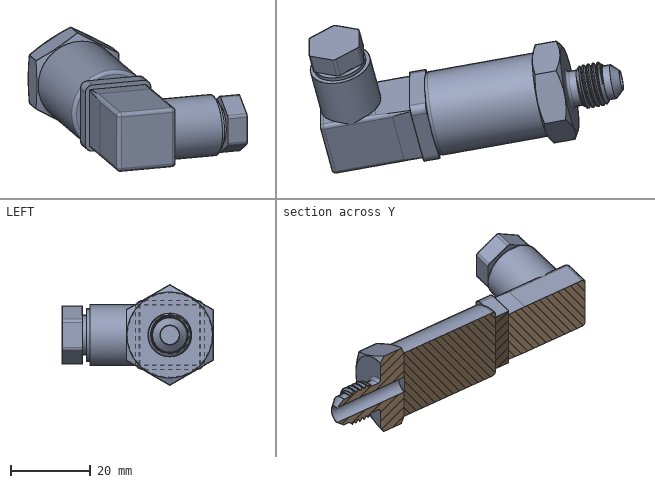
import cadquery as cq
import math


hex_half_angle = 30.0

overall_length = 76.5
tip_cone_end = 2.1
thread_start = 4.0
thread_end = 10.7
hex_start = 13.4
hex_end = 20.7
sleeve_end = 48.9
flange_end = 52.9

bore_diameter = 4.8
tip_diameter = 5.0
tip_land_diameter = 8.7
neck_diameter = 9.0
neck_fillet = 0.8
hex_across_flats = 22.0
hex_front_face_diameter = 21.7
hex_front_chamfer_angle = 30.0
hex_back_chamfer_angle = 23.0

thread_diameter = 11.0
thread_root_diameter = 9.6
thread_pitch = 1.27
thread_peak_x = 5.3
thread_end_diameter = 9.2
thread_root_flat = 0.15
thread_flank_angle = 30.0
groove_run_out = 0.5
cutter_overshoot = 0.1

sleeve_diameter = 21.4
sleeve_fillet = 1.0

flange_width = 17.4
flange_corner_radius = 1.9

connector_width = 15.5
connector_fillet = 1.0
taper_depth = 0.19
side_taper_end = 62.0
top_taper_end = 57.8
spigot_x = 68.4
spigot_end = 20.2

ring_diameter = 13.3
ring_end = 21.1
gland_stem_diameter = 10.0
gland_stem_end = 22.1
gland_end = 27.2
gland_across_flats = 13.0
gland_corner_radius = 0.9


def corner_diameter(across_flats):
    """Diameter through the corners of a hexagon."""
    return across_flats / math.cos(math.radians(hex_half_angle))


def x_cylinder(diameter, start, end):
    """Cylinder on the X axis between two stations."""
    return cq.Workplane("YZ", origin=(start, 0, 0)).circle(diameter / 2).extrude(end - start)


def y_cylinder(diameter, start, end):
    """Cylinder on the gland axis, running to +Y."""
    return (
        cq.Workplane("XZ", origin=(spigot_x, start, 0))
        .circle(diameter / 2)
        .extrude(start - end)
    )


def make_hex():
    """Wrench hexagon with a corner at +Z and conical chamfers on both ends."""
    corner_radius = corner_diameter(hex_across_flats) / 2
    front_radius = hex_front_face_diameter / 2
    back_radius = sleeve_diameter / 2
    front_chamfer = (corner_radius - front_radius) * math.tan(math.radians(hex_front_chamfer_angle))
    back_chamfer = (corner_radius - back_radius) * math.tan(math.radians(hex_back_chamfer_angle))
    prism = (
        cq.Workplane("YZ", origin=(hex_start, 0, 0))
        .transformed(rotate=(0, 0, hex_half_angle))
        .polygon(6, 2 * corner_radius)
        .extrude(hex_end - hex_start)
    )
    chamfer_envelope = (
        cq.Workplane("XY")
        .moveTo(hex_start, 0)
        .lineTo(hex_start, front_radius)
        .lineTo(hex_start + front_chamfer, corner_radius)
        .lineTo(hex_end - back_chamfer, corner_radius)
        .lineTo(hex_end, back_radius)
        .lineTo(hex_end, 0)
        .close()
        .revolve(360, (0, 0, 0), (1, 0, 0))
    )
    return prism.intersect(chamfer_envelope)


def make_stem():
    """Flare tip, land, thread blank with bevelled ends, and filleted neck."""
    thread_radius = thread_diameter / 2
    bevel = (thread_diameter - thread_end_diameter) / 2
    neck_radius = neck_diameter / 2
    return (
        cq.Workplane("XY")
        .lineTo(0, tip_diameter / 2)
        .lineTo(tip_cone_end, tip_land_diameter / 2)
        .lineTo(thread_start, tip_land_diameter / 2)
        .lineTo(thread_start, thread_end_diameter / 2)
        .lineTo(thread_start + bevel, thread_radius)
        .lineTo(thread_end - bevel, thread_radius)
        .lineTo(thread_end, thread_end_diameter / 2)
        .lineTo(thread_end, neck_radius)
        .lineTo(hex_start - neck_fillet, neck_radius)
        .radiusArc((hex_start, neck_radius + neck_fillet), -neck_fillet)
        .lineTo(hex_start, 0)
        .close()
        .revolve(360, (0, 0, 0), (1, 0, 0))
    )


def make_thread_groove():
    """Right-handed helical groove that runs out past both ends of the thread."""
    root_radius = thread_root_diameter / 2
    outer_radius = thread_diameter / 2 + cutter_overshoot
    root_half = thread_root_flat / 2
    outer_half = root_half + (outer_radius - root_radius) * math.tan(math.radians(thread_flank_angle))
    start = thread_peak_x - 1.5 * thread_pitch
    turns = math.ceil((thread_end - start) / thread_pitch) + groove_run_out
    helix = cq.Wire.makeHelix(thread_pitch, turns * thread_pitch, root_radius)
    groove = (
        cq.Workplane("XZ")
        .moveTo(root_radius, -root_half)
        .lineTo(root_radius, root_half)
        .lineTo(outer_radius, outer_half)
        .lineTo(outer_radius, -outer_half)
        .close()
        .sweep(cq.Workplane(obj=helix), isFrenet=True)
    )
    return (
        groove.rotate((0, 0, 0), (0, 0, 1), 180)
        .rotate((0, 0, 0), (0, 1, 0), 90)
        .translate((start, 0, 0))
    )


def make_fitting():
    """Flared, threaded process fitting with its hexagon and through bore."""
    threaded_stem = make_stem().cut(make_thread_groove())
    return threaded_stem.union(make_hex()).cut(x_cylinder(bore_diameter, 0, hex_end))


def make_sleeve():
    """Round sensor body with a rounded rear edge."""
    return x_cylinder(sleeve_diameter, hex_end, sleeve_end).faces(">X").edges().fillet(sleeve_fillet)


def make_flange():
    """Square flange with rounded corners."""
    return (
        cq.Workplane("YZ", origin=(sleeve_end, 0, 0))
        .rect(flange_width, flange_width)
        .extrude(flange_end - sleeve_end)
        .edges("|X")
        .fillet(flange_corner_radius)
    )


def make_taper_envelope(plane, taper_end):
    """Block that narrows on two opposite faces toward the flange."""
    half = connector_width / 2
    narrow_half = half - taper_depth
    return (
        cq.Workplane(plane)
        .moveTo(flange_end, -narrow_half)
        .lineTo(taper_end, -half)
        .lineTo(overall_length, -half)
        .lineTo(overall_length, half)
        .lineTo(taper_end, half)
        .lineTo(flange_end, narrow_half)
        .close()
        .extrude(connector_width, both=True)
    )


def make_connector():
    """Right-angle connector housing: rounded, slightly tapered block with a round spigot."""
    block = (
        cq.Workplane("YZ", origin=(flange_end, 0, 0))
        .rect(connector_width, connector_width)
        .extrude(overall_length - flange_end)
        .edges("|X or >X")
        .fillet(connector_fillet)
        .intersect(make_taper_envelope("XY", side_taper_end))
        .intersect(make_taper_envelope("XZ", top_taper_end))
    )
    spigot_root = connector_width / 2 - connector_fillet
    return block.union(y_cylinder(connector_width, spigot_root, spigot_end))


def make_ring():
    """Sealing ring on the end of the spigot."""
    return y_cylinder(ring_diameter, spigot_end, ring_end)


def make_gland():
    """Gland nut: round stem and a hexagon with rounded corners, flats facing +X and -X."""
    nut = (
        cq.Workplane("XZ", origin=(spigot_x, gland_stem_end, 0))
        .transformed(rotate=(0, 0, hex_half_angle))
        .polygon(6, corner_diameter(gland_across_flats))
        .extrude(gland_stem_end - gland_end)
        .edges("|Y")
        .fillet(gland_corner_radius)
    )
    return nut.union(y_cylinder(gland_stem_diameter, ring_end, gland_stem_end))


fitting = make_fitting()
sleeve = make_sleeve()
flange = make_flange()
connector = make_connector()
ring = make_ring()
gland = make_gland()

result = cq.Compound.makeCompound(
    [body.solids().val() for body in (fitting, sleeve, flange, connector, ring, gland)]
)